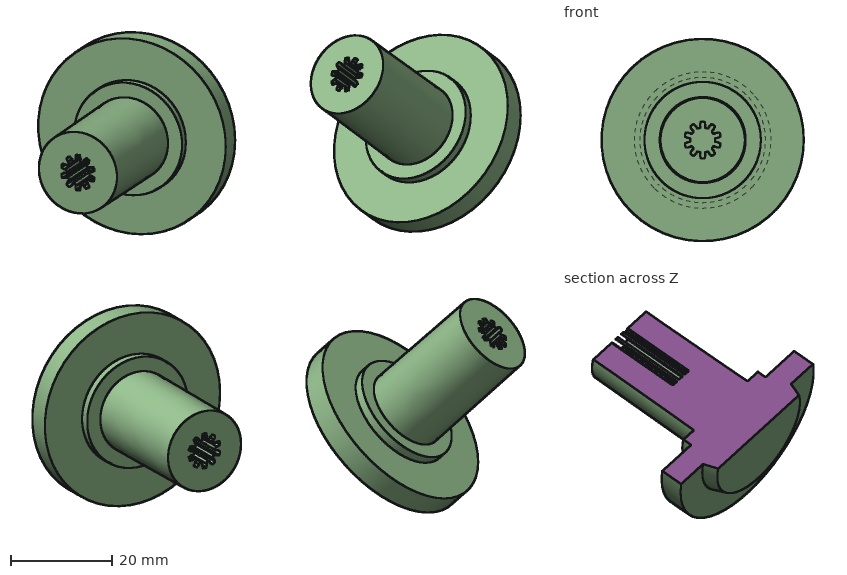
import cadquery as cq
import math

flange_diameter = 40.0
flange_thickness = 5.0
collar_diameter = 23.0
collar_thickness = 2.0
shaft_length = 26.5
shaft_root_diameter = 17.0
shaft_tip_diameter = 16.7
cone_base_diameter = 27.0
cone_height = 3.0
cone_angle = 20.0

groove_count = 10
socket_depth = 16.0
tooth_tip_radius = 2.45
tooth_half_width = 0.35
tooth_tip_rounding = 0.2
tooth_flare_start = 2.9
tooth_base_radius = 3.5
tooth_base_half_width = 0.7
groove_bottom_radius = 3.65

collar_start = shaft_length
flange_start = collar_start + collar_thickness
cone_start = flange_start + flange_thickness
cone_end = cone_start + cone_height
cone_end_radius = cone_base_diameter / 2 - cone_height * math.tan(math.radians(cone_angle))


def make_body():
    """Revolve the half profile of shaft, collar, flange and cone."""
    profile = [
        (0, 0),
        (shaft_tip_diameter / 2, 0),
        (shaft_root_diameter / 2, collar_start),
        (collar_diameter / 2, collar_start),
        (collar_diameter / 2, flange_start),
        (flange_diameter / 2, flange_start),
        (flange_diameter / 2, cone_start),
        (cone_base_diameter / 2, cone_start),
        (cone_end_radius, cone_end),
        (0, cone_end),
    ]
    return cq.Workplane("XY").polyline(profile).close().revolve(360, (0, 0), (0, 1))


def make_socket():
    """Extrude the socket: grooves separated by round-cornered teeth that flare at their base."""
    pitch = 2 * math.pi / groove_count
    tip_half_width = tooth_half_width - tooth_tip_rounding
    rounding_end = tooth_tip_radius + tooth_tip_rounding
    corner_inset = tooth_tip_rounding * (1 - math.sqrt(0.5))
    corner_across = tooth_half_width - corner_inset
    corner_outward = tooth_tip_radius + corner_inset

    def place(index, across, outward):
        """Turn a point of an upright tooth to the tooth with this index, half a pitch off a groove."""
        angle = (index + 0.5) * pitch
        return (
            across * math.cos(angle) + outward * math.sin(angle),
            outward * math.cos(angle) - across * math.sin(angle),
        )

    outline = cq.Workplane("XZ").moveTo(*place(0, -tooth_base_half_width, tooth_base_radius))
    for i in range(groove_count):
        outline = (
            outline.lineTo(*place(i, -tooth_half_width, tooth_flare_start))
            .lineTo(*place(i, -tooth_half_width, rounding_end))
            .threePointArc(
                place(i, -corner_across, corner_outward),
                place(i, -tip_half_width, tooth_tip_radius),
            )
            .lineTo(*place(i, tip_half_width, tooth_tip_radius))
            .threePointArc(
                place(i, corner_across, corner_outward),
                place(i, tooth_half_width, rounding_end),
            )
            .lineTo(*place(i, tooth_half_width, tooth_flare_start))
            .lineTo(*place(i, tooth_base_half_width, tooth_base_radius))
            .threePointArc(
                place(i + 0.5, 0, groove_bottom_radius),
                place(i + 1, -tooth_base_half_width, tooth_base_radius),
            )
        )
    return outline.close().extrude(-socket_depth)


result = make_body().cut(make_socket())